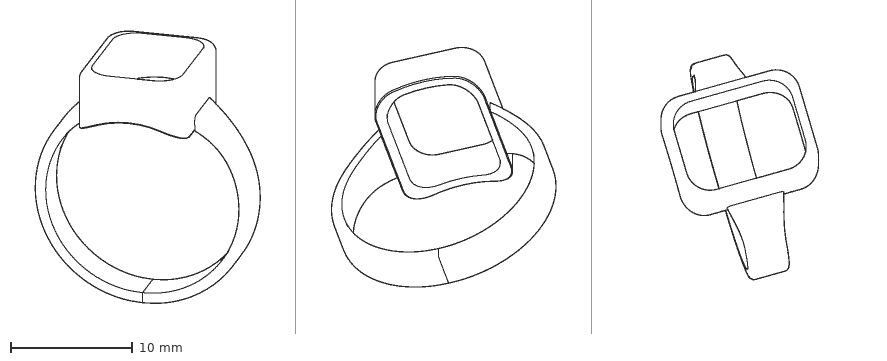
import cadquery as cq
import math


BORE_RADIUS = 8.25
BAND_RADIUS = 9.25
TOP_HEIGHT = 11.97

BEZEL_LENGTH_X = 9.38
BEZEL_LENGTH_Y = 11.8
BEZEL_WALL = 0.83
BEZEL_CORNER_RADIUS = 2.0
RIM_FILLET = 0.7
SADDLE_CHAMFER = 0.1

BOTTOM_ANGLE = -90
TOP_ANGLE = 66
SECTION_COUNT = 14
BOTTOM_HALF_WIDTH = 1.6
WIDENING_PER_DEGREE = 0.001
FLARE_START_ANGLE = 25
FLARE_RATE = 0.00065813
STRAIGHT_START_ANGLE = 49.4
BOTTOM_EDGE_RADIUS = 0.3
EDGE_RADIUS_PER_DEGREE = 0.0013


def rounded_block(length_x, length_y):
    """Upright block with rounded corners, from the bore axis to the rim."""
    block = cq.Workplane("XY").rect(length_x, length_y).extrude(TOP_HEIGHT)
    return block.edges("|Z").fillet(BEZEL_CORNER_RADIUS)


def bore(radius):
    """Cylinder along Y, longer than the bezel."""
    return cq.Workplane("XZ").circle(radius).extrude(BEZEL_LENGTH_Y, both=True)


def make_bezel():
    """Open rounded frame with a saddle underside that follows the bore."""
    outer = rounded_block(BEZEL_LENGTH_X, BEZEL_LENGTH_Y)
    outer = outer.faces(">Z").edges().fillet(RIM_FILLET).cut(bore(BORE_RADIUS))
    saddle = outer.faces(cq.selectors.NearestToPointSelector((0, 0, BORE_RADIUS)))
    outer = saddle.edges().chamfer(SADDLE_CHAMFER)
    opening = rounded_block(BEZEL_LENGTH_X - 2 * BEZEL_WALL, BEZEL_LENGTH_Y - 2 * BEZEL_WALL)
    return outer.cut(opening)


def half_width(angle):
    """Half the band width at an elevation angle."""
    taper = WIDENING_PER_DEGREE * (angle - BOTTOM_ANGLE)
    flare = FLARE_RATE * max(0, angle - FLARE_START_ANGLE) ** 2
    return BOTTOM_HALF_WIDTH + taper + flare


def outer_radius(angle):
    """Distance from the bore axis to the outer surface: an arc, then its tangent."""
    past_arc = max(0, angle - STRAIGHT_START_ANGLE)
    return BAND_RADIUS / math.cos(math.radians(past_arc))


def band_section(angle):
    """Closed section in the radial plane, rounded at its two outer corners."""
    radians = math.radians(angle)
    outward = (-math.cos(radians), 0, math.sin(radians))
    plane = cq.Plane(origin=(0, 0, 0), xDir=outward, normal=(math.sin(radians), 0, math.cos(radians)))
    side = half_width(angle)
    top = outer_radius(angle)
    edge = BOTTOM_EDGE_RADIUS + EDGE_RADIUS_PER_DEGREE * (angle - BOTTOM_ANGLE)
    diagonal = edge * (1 - math.sqrt(0.5))
    section = (
        cq.Workplane(plane)
        .moveTo(BORE_RADIUS, -side)
        .lineTo(top - edge, -side)
        .threePointArc((top - diagonal, -side + diagonal), (top, -side + edge))
        .lineTo(top, side - edge)
        .threePointArc((top - diagonal, side - diagonal), (top - edge, side))
        .lineTo(BORE_RADIUS, side)
        .close()
    )
    return section.val()


def make_left_band():
    """Half band from the bottom of the ring up to the side of the bezel."""
    step = (TOP_ANGLE - BOTTOM_ANGLE) / (SECTION_COUNT - 1)
    sections = [band_section(BOTTOM_ANGLE + i * step) for i in range(SECTION_COUNT)]
    band = cq.Workplane("XY").add(cq.Solid.makeLoft(sections))
    bezel_zone = (
        cq.Workplane("XY").box(BEZEL_LENGTH_X, BEZEL_LENGTH_Y, TOP_HEIGHT, centered=(True, True, False))
    )
    return band.cut(bezel_zone)


bezel = make_bezel()
left_band = make_left_band()
right_band = left_band.mirror("YZ")

result = cq.Compound.makeCompound([bezel.val(), left_band.val(), right_band.val()])